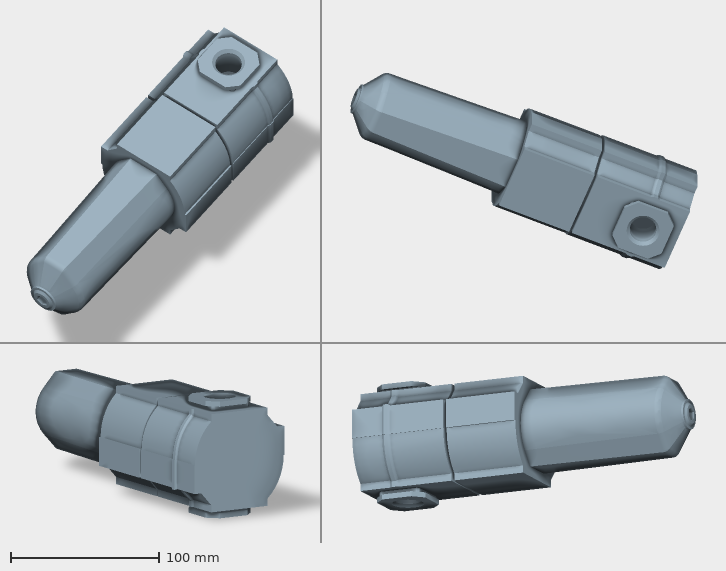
import cadquery as cq
import math

HEAD_END = 67.6
COLLAR_START = 69.7
COLLAR_END = 120.9
BOWL_SHOULDER = 221.5
BOWL_NOSE = 232.8
PLUG_TIP = 235.6

FLAT_HALF_WIDTH = 22.5
FLAT_HALF_HEIGHT = 33.7
WING_HALF_WIDTH = 35.8
WING_HEIGHT = 19.8
BEVEL_WIDTH = 30.5
BEVEL_HEIGHT = 28.7
HEAD_ARC_HALF_WIDTH = 35.3
COLLAR_ARC_HALF_WIDTH = 34.6

BAND_HEIGHT = 1.0
BAND_BASE_START, BAND_BASE_END = 22.1, 28.5
BAND_CREST_START, BAND_CREST_END = 23.8, 26.6

PORT_STATION = 25.0
PORT_FACE_HEIGHT = 40.0
FLANGE_WIDTH = 35.8
FLANGE_CORNER = 7.0
FLANGE_THICKNESS = 3.5
NECK_WIDTH = 29.7
NECK_CORNER = 1.5
BORE_RADIUS = 9.0
BORE_RIM_RADIUS = 11.0
BORE_DEPTH = 23.5

COLLAR_NECK_REAR_RADIUS = 29.5
COLLAR_NECK_FRONT_RADIUS = 30.5

BOWL_ROOT_HALF_HEIGHT, BOWL_SHOULDER_HALF_HEIGHT = 26.9, 26.6
BOWL_ROOT_RADIUS, BOWL_ROOT_FLAT = 26.2, 10.8
BOWL_SHOULDER_RADIUS, BOWL_SHOULDER_FLAT = 23.8, 8.0
BOWL_FACET_ANGLE = math.radians(42)
BOWL_SHOULDER_FILLET = 5.5
EDGE_SEARCH_MARGIN = 0.2
NOSE_RADIUS, NOSE_FLAT = 10.4, 3.5

PLUG_RIM_THICKNESS = 1.5
PLUG_BOSS_RADIUS = 8.2
PLUG_TIP_RADIUS = 6.5
SHANK_DEPTH = 7.0
SOCKET_ACROSS_FLATS = 8.0
SOCKET_DEPTH = 6.0


def section_plane(station):
    """Plane across the axis with local x along +X, local y along +Z and its normal along -Y."""
    return cq.Workplane("XZ", origin=(0, -station, 0))


def block_outline(station, arc_half_width, grow=0.0):
    """Closed outline with bevelled wings and arcs, the same after half a turn about the axis."""
    flat = FLAT_HALF_WIDTH + grow
    wing = WING_HALF_WIDTH + grow
    wing_height = WING_HEIGHT + grow
    bevel_width = BEVEL_WIDTH + grow
    bevel_height = BEVEL_HEIGHT + grow
    arc_start = arc_half_width + grow

    arc_radius = ((arc_start - flat) ** 2 + bevel_height ** 2) / (2 * (arc_start - flat))
    arc_center = arc_start - arc_radius
    half_sweep = math.asin(bevel_height / arc_radius) / 2
    mid_x = arc_center + arc_radius * math.cos(half_sweep)
    mid_z = arc_radius * math.sin(half_sweep)

    outline = section_plane(station).moveTo(-flat, FLAT_HALF_HEIGHT)
    for side in (1, -1):
        outline = (
            outline.lineTo(side * flat, side * FLAT_HALF_HEIGHT)
            .lineTo(side * flat, side * bevel_height)
            .threePointArc((side * mid_x, side * mid_z), (side * arc_start, 0))
            .lineTo(side * wing, 0)
            .lineTo(side * wing, -side * wing_height)
            .lineTo(side * bevel_width, -side * wing_height)
            .lineTo(side * flat, -side * bevel_height)
            .lineTo(side * flat, -side * FLAT_HALF_HEIGHT)
        )
    return outline.close()


def band():
    """Trapezoidal ridge around the sides of the head, flush with its top and bottom flats."""
    stations = (
        (BAND_BASE_START, 0.0),
        (BAND_CREST_START, BAND_HEIGHT),
        (BAND_CREST_END, BAND_HEIGHT),
        (BAND_BASE_END, 0.0),
    )
    wires = [block_outline(station, HEAD_ARC_HALF_WIDTH, grow).val() for station, grow in stations]
    return cq.Workplane(cq.Solid.makeLoft(wires, True))


def square_plate(bottom, top, width, corner):
    """Square plate with bevelled corners, centered on the port axis."""
    return (
        cq.Workplane("XY", origin=(0, -PORT_STATION, bottom))
        .rect(width, width)
        .extrude(top - bottom)
        .edges("|Z")
        .chamfer(corner)
    )


def port_flange():
    flange_bottom = PORT_FACE_HEIGHT - FLANGE_THICKNESS
    neck = square_plate(FLAT_HALF_HEIGHT, flange_bottom, NECK_WIDTH, NECK_CORNER)
    flange = square_plate(flange_bottom, PORT_FACE_HEIGHT, FLANGE_WIDTH, FLANGE_CORNER)
    return neck.union(flange)


def port_bore():
    """Blind bore with a 45 degree countersink, revolved about the port axis."""
    countersink_bottom = PORT_FACE_HEIGHT - (BORE_RIM_RADIUS - BORE_RADIUS)
    bore_bottom = PORT_FACE_HEIGHT - BORE_DEPTH
    return (
        cq.Workplane("XZ", origin=(0, -PORT_STATION, 0))
        .moveTo(0, bore_bottom)
        .lineTo(BORE_RADIUS, bore_bottom)
        .lineTo(BORE_RADIUS, countersink_bottom)
        .lineTo(BORE_RIM_RADIUS, PORT_FACE_HEIGHT)
        .lineTo(0, PORT_FACE_HEIGHT)
        .close()
        .revolve(360, (0, 0, 0), (0, 1, 0))
    )


def make_head():
    head = block_outline(0, HEAD_ARC_HALF_WIDTH).extrude(HEAD_END).union(band())
    for turn in (0, 180):
        head = head.union(port_flange().rotate((0, 0, 0), (0, 1, 0), turn))
        head = head.cut(port_bore().rotate((0, 0, 0), (0, 1, 0), turn))
    return head


def make_collar():
    block = block_outline(COLLAR_START, COLLAR_ARC_HALF_WIDTH).extrude(COLLAR_END - COLLAR_START)
    neck = (
        section_plane(HEAD_END)
        .circle(COLLAR_NECK_REAR_RADIUS)
        .workplane(offset=COLLAR_START - HEAD_END)
        .circle(COLLAR_NECK_FRONT_RADIUS)
        .loft(ruled=True)
    )
    return block.union(neck)


def bowl_section(station, radius, flat, half_height):
    """Round section with a flat at top and bottom and a bevel on each side of the flats."""
    corner_x = radius * math.cos(BOWL_FACET_ANGLE)
    corner_z = radius * math.sin(BOWL_FACET_ANGLE)
    outline = section_plane(station).moveTo(-flat, half_height)
    for side in (1, -1):
        outline = (
            outline.lineTo(side * flat, side * half_height)
            .lineTo(side * corner_x, side * corner_z)
            .threePointArc((side * radius, 0), (side * corner_x, -side * corner_z))
            .lineTo(side * flat, -side * half_height)
        )
    return outline.close().val()


def nose_section():
    """Nose circle, divided at the points where the facets of the bowl run out."""
    flat_angle = math.acos(NOSE_FLAT / NOSE_RADIUS)
    facet_angles = (flat_angle, BOWL_FACET_ANGLE, -BOWL_FACET_ANGLE, -flat_angle)
    stops = [half_turn + angle for half_turn in (0, math.pi) for angle in facet_angles]
    start_angle = math.pi - flat_angle

    def on_circle(angle):
        return NOSE_RADIUS * math.cos(angle), NOSE_RADIUS * math.sin(angle)

    outline = section_plane(BOWL_NOSE).moveTo(*on_circle(start_angle))
    previous = start_angle
    for stop in stops:
        sweep = (previous - stop) % (2 * math.pi)
        outline = outline.threePointArc(on_circle(previous - sweep / 2), on_circle(stop))
        previous = stop
    return outline.close().val()


def plug_shank(radius):
    return section_plane(BOWL_NOSE - SHANK_DEPTH).circle(radius).extrude(SHANK_DEPTH)


def make_bowl():
    root = bowl_section(COLLAR_END, BOWL_ROOT_RADIUS, BOWL_ROOT_FLAT, BOWL_ROOT_HALF_HEIGHT)
    shoulder = bowl_section(
        BOWL_SHOULDER, BOWL_SHOULDER_RADIUS, BOWL_SHOULDER_FLAT, BOWL_SHOULDER_HALF_HEIGHT
    )
    bowl = cq.Workplane(cq.Solid.makeLoft([root, shoulder, nose_section()], True))
    fillet_zone = cq.selectors.BoxSelector(
        (-WING_HALF_WIDTH, -BOWL_SHOULDER - EDGE_SEARCH_MARGIN, -FLAT_HALF_HEIGHT),
        (WING_HALF_WIDTH, -BOWL_SHOULDER + EDGE_SEARCH_MARGIN, FLAT_HALF_HEIGHT),
        boundingbox=True,
    )
    bowl = bowl.edges(fillet_zone).fillet(BOWL_SHOULDER_FILLET)
    return bowl.cut(plug_shank(PLUG_BOSS_RADIUS))


def make_drain_plug():
    boss_start = BOWL_NOSE + PLUG_RIM_THICKNESS
    rim = section_plane(BOWL_NOSE).circle(NOSE_RADIUS).extrude(PLUG_RIM_THICKNESS)
    boss = (
        section_plane(boss_start)
        .circle(PLUG_BOSS_RADIUS)
        .workplane(offset=PLUG_TIP - boss_start)
        .circle(PLUG_TIP_RADIUS)
        .loft(ruled=True)
    )
    socket = (
        section_plane(PLUG_TIP - SOCKET_DEPTH)
        .polygon(6, SOCKET_ACROSS_FLATS, circumscribed=True)
        .extrude(SOCKET_DEPTH)
    )
    return plug_shank(PLUG_BOSS_RADIUS).union(rim).union(boss).cut(socket)


head = make_head()
collar = make_collar()
bowl = make_bowl()
drain_plug = make_drain_plug()

result = cq.Compound.makeCompound([head.val(), collar.val(), bowl.val(), drain_plug.val()])